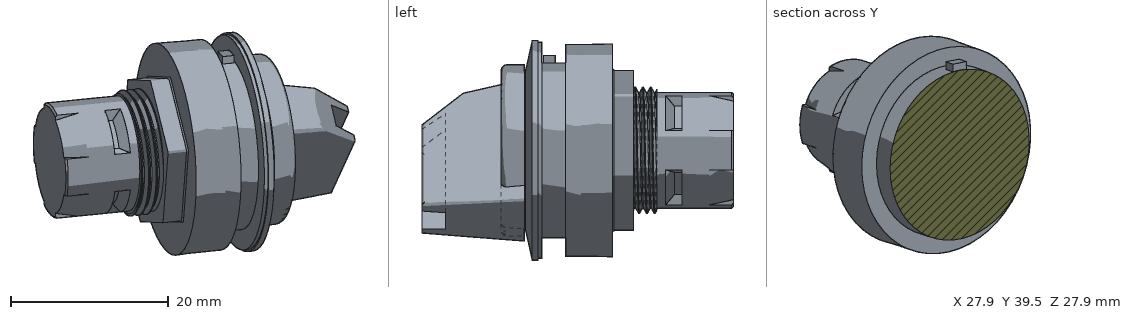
import cadquery as cq
import math


barrel_diameter = 14.7
barrel_chamfer = 0.25
pocket_count = 4
pocket_wall = 2.5
end_notch_length = 3.05
end_notch_depth = 0.65
window_bottom = 6.55
window_top = 8.6
window_depth = 1.1
window_wall_taper = 0.22

thread_diameter = 16.0
thread_pitch = 1.0
thread_bottom = 9.7
thread_crest_y = 9.75
thread_root_width = 0.85
thread_crest_width = 0.1
thread_overlap = 0.05

nut_bottom = 12.68
nut_across_flats = 18.1
nut_corner_radius = 0.47
nut_turn = 17.7
nut_rim = 0.2

body_bottom = 15.33
body_diameter = 26.85
flare_diameter = 27.0
flare_top = 19.3
body_top = 21.3
neck_diameter = 22.2
bezel_bottom = 24.3
bezel_step_diameter = 27.4
bezel_step_height = 0.47
bezel_diameter = 27.9
bezel_rim_top = 25.5
cone_top = 26.4
cone_top_diameter = 20.05

tab_width = 2.15
tab_bottom = 22.6
tab_top = 24.1
tab_reach = 12.05

ring_diameter = 21.72
ring_bottom = 26.5
ring_top = 29.45
ring_fillet = 0.8

handle_top = 39.5
handle_half_width = 2.73
side_draft = 5
back_radius = 13.15
back_draft = 2.4
front_radius = 9.8
front_draft = 14
slope_start = 2.15
handle_fillet = 0.47
slot_depth = 2.95
slot_half_width = 1.6
slot_floor_half_width = 1.45
handle_turn = 45

barrel_radius = barrel_diameter / 2


def turned(profile):
    """Revolve a profile of (radius, y) points about the Y axis."""
    return cq.Workplane("XY").polyline(profile).close().revolve(360, (0, 0, 0), (0, 1, 0))


def prism(outline, bottom, top):
    """Extrude an outline of (x, z) points along Y."""
    return cq.Workplane("XZ", origin=(0, top, 0)).polyline(outline).close().extrude(top - bottom)


def turn_about_axis(solid, angle):
    """Turn a solid about the Y axis, positive from +X towards +Z."""
    return solid.rotate((0, 0, 0), (0, -1, 0), angle)


def make_stack():
    """Barrel, round body, neck, bezel and the short neck under the knob, as one turned solid."""
    step_top = bezel_bottom + bezel_step_height
    return turned([
        (0, 0),
        (barrel_radius - barrel_chamfer, 0),
        (barrel_radius, barrel_chamfer),
        (barrel_radius, body_bottom),
        (flare_diameter / 2, body_bottom),
        (body_diameter / 2, flare_top),
        (body_diameter / 2, body_top),
        (neck_diameter / 2, body_top),
        (neck_diameter / 2, bezel_bottom),
        (bezel_step_diameter / 2, bezel_bottom),
        (bezel_step_diameter / 2, step_top),
        (bezel_diameter / 2, step_top),
        (bezel_diameter / 2, bezel_rim_top),
        (cone_top_diameter / 2, cone_top),
        (cone_top_diameter / 2, ring_bottom),
        (0, ring_bottom),
    ])


def make_end_notch():
    """Corner relief at the plug end, deepening conically towards Y = 0."""
    reach = barrel_diameter
    corner = prism(
        [(pocket_wall, pocket_wall), (reach, pocket_wall), (reach, reach), (pocket_wall, reach)],
        0, end_notch_length,
    )
    taper = turned([
        (barrel_radius - end_notch_depth, 0),
        (reach, 0),
        (reach, end_notch_length),
        (barrel_radius, end_notch_length),
    ])
    return corner.intersect(taper)


def make_window():
    """Corner pocket with a cylindrical floor, a sloped upper face and leaning side walls."""
    wall_start = math.sqrt(barrel_radius**2 - pocket_wall**2)
    inner = wall_start - 2 * window_depth
    outer = wall_start + 2 * window_depth
    inner_wall = pocket_wall + (wall_start - inner) * window_wall_taper
    outer_wall = pocket_wall - (outer - wall_start) * window_wall_taper
    corner = prism(
        [(inner, inner_wall), (outer, outer_wall), (outer, outer),
         (outer_wall, outer), (inner_wall, inner)],
        window_bottom, window_top,
    )
    floor_radius = barrel_radius - window_depth
    ring = turned([
        (floor_radius, window_bottom),
        (barrel_radius, window_bottom),
        (barrel_radius, window_top),
        (floor_radius, window_top - window_depth),
    ])
    return corner.intersect(ring)


def make_thread():
    """Right-hand V thread, cut square at its lower end and running into the nut."""
    start = thread_crest_y - thread_pitch
    top = nut_bottom + thread_pitch / 2
    root = barrel_radius - thread_overlap
    helix = cq.Wire.makeHelix(thread_pitch, top + thread_pitch - start, barrel_radius)
    ridge = (
        cq.Workplane("XZ")
        .polyline([
            (root, -thread_root_width / 2),
            (thread_diameter / 2, -thread_crest_width / 2),
            (thread_diameter / 2, thread_crest_width / 2),
            (root, thread_root_width / 2),
        ])
        .close()
        .sweep(cq.Workplane(helix), isFrenet=True)
        .rotate((0, 0, 0), (1, 0, 0), -90)
        .translate((0, start, 0))
    )
    limits = cq.Workplane("XZ", origin=(0, top, 0)).circle(thread_diameter).extrude(top - thread_bottom)
    return ridge.intersect(limits)


def make_hexagon(across_flats, corner_radius, bottom, top):
    """Hexagonal prism with rounded corners."""
    return (
        cq.Workplane("XZ", origin=(0, top, 0))
        .polygon(6, across_flats / math.cos(math.pi / 6))
        .extrude(top - bottom)
        .edges("|Y")
        .fillet(corner_radius)
    )


def make_nut():
    """Nut that widens over a 45 degree rim where it meets the body."""
    nut = make_hexagon(nut_across_flats, nut_corner_radius, nut_bottom, body_bottom)
    rim = make_hexagon(
        nut_across_flats + 2 * nut_rim, nut_corner_radius + nut_rim,
        body_bottom - nut_rim, body_bottom + nut_rim,
    )
    rim = rim.faces("<Y").edges().chamfer(nut_rim)
    return turn_about_axis(nut.union(rim), nut_turn)


def make_tab():
    """Block from the axis out through the +Z side of the neck."""
    return cq.Workplane("XY").box(
        tab_width, tab_top - tab_bottom, tab_reach, centered=(True, False, False)
    ).translate((0, tab_bottom, 0))


def make_ring():
    """Knob disc with a rounded top edge."""
    return (
        cq.Workplane("XZ", origin=(0, ring_top, 0))
        .circle(ring_diameter / 2)
        .extrude(ring_top - ring_bottom)
        .faces(">Y")
        .edges()
        .fillet(ring_fillet)
    )


def lengthwise_bar(half_section, length):
    """Extrude a section symmetric about the XY plane both ways along X, from its (z, y) half outline."""
    right_side = [(y, z) for z, y in half_section]
    left_side = [(y, -z) for z, y in reversed(half_section)]
    return cq.Workplane("YZ").polyline(right_side + left_side).close().extrude(length, both=True)


def drafted_cone(bottom_radius, draft):
    """Cone over the full handle height, narrowing upwards by the draft angle."""
    height = handle_top - ring_bottom
    top_radius = bottom_radius - height * math.tan(math.radians(draft))
    return turned([(0, ring_bottom), (bottom_radius, ring_bottom), (top_radius, handle_top), (0, handle_top)])


def make_handle():
    """Drafted bar with conical ends, a sloped nose and a lengthwise indicator slot.

    It is built pointing along +X and then turned to its final direction.
    """
    height = handle_top - ring_bottom
    reach = bezel_diameter
    bottom_half_width = handle_half_width + height * math.tan(math.radians(side_draft))
    bar = lengthwise_bar([(bottom_half_width, ring_bottom), (handle_half_width, handle_top)], reach)

    back_half = cq.Workplane("XY").box(reach, 2 * handle_top, reach, centered=(False, False, True))
    back = drafted_cone(back_radius, back_draft).intersect(back_half.translate((-reach, 0, 0)))
    front = drafted_cone(front_radius, front_draft)
    slope = (
        cq.Workplane("XY")
        .polyline([(slope_start, handle_top), (slope_start + height, handle_top),
                   (slope_start + height, ring_bottom)])
        .close()
        .extrude(reach, both=True)
    )
    handle = bar.intersect(back.union(front)).cut(slope)

    handle = handle.edges("not (<Y or (>Y exc |X))").fillet(handle_fillet)

    slot = lengthwise_bar(
        [(slot_floor_half_width, handle_top - slot_depth), (slot_half_width, handle_top)], reach)
    return turn_about_axis(handle.cut(slot), handle_turn)


result = make_stack()
for index in range(pocket_count):
    angle = index * 360 / pocket_count
    result = result.cut(turn_about_axis(make_end_notch(), angle))
    result = result.cut(turn_about_axis(make_window(), angle))
for feature in (make_thread(), make_nut(), make_tab(), make_ring(), make_handle()):
    result = result.union(feature)